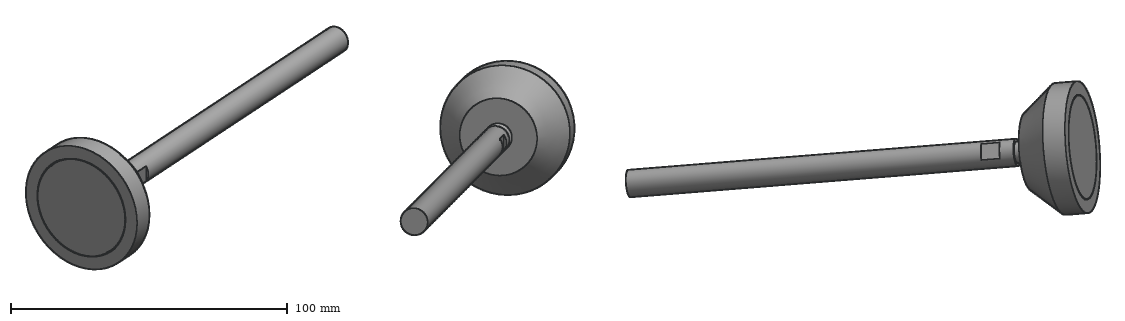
import cadquery as cq

total_length = 170.0

foot_diameter = 48.0
foot_top_diameter = 28.5
foot_rim_height = 8.3
foot_height = 20.0

stem_diameter = 10.0
neck_diameter = 7.8
stem_start = 24.6

lip_diameter = stem_diameter
lip_height = (lip_diameter - neck_diameter) / 2

flat_start = 30.0
flat_end = 36.9
across_flats = 8.0

plate_diameter = 37.5
recess_diameter = 38.0
plate_thickness = 2.0


def revolve_about_y(profile):
    """Solid of revolution from a closed list of (radius, Y) points."""
    return cq.Workplane("XY").polyline(profile).close().revolve(360, (0, 0, 0), (0, 1, 0))


def make_foot():
    """Conical foot with a bore for the neck and a recess for the base plate."""
    bore_radius = neck_diameter / 2
    recess_radius = recess_diameter / 2
    foot_radius = foot_diameter / 2
    return revolve_about_y([
        (recess_radius, 0),
        (foot_radius, 0),
        (foot_radius, foot_rim_height),
        (foot_top_diameter / 2, foot_height),
        (lip_diameter / 2, foot_height),
        (bore_radius, foot_height + lip_height),
        (bore_radius, plate_thickness),
        (recess_radius, plate_thickness),
    ])


def wrench_flat_cutter(side):
    """Block that cuts one flat on the +X (side = 1) or -X (side = -1) side of the stem."""
    block_depth = stem_diameter / 2
    center_x = side * (across_flats + block_depth) / 2
    center_y = (flat_start + flat_end) / 2
    block = cq.Workplane("XY").box(block_depth, flat_end - flat_start, stem_diameter)
    return block.translate((center_x, center_y, 0))


def make_stem():
    """Base plate, neck and long stem with two opposite wrench flats."""
    plate_radius = plate_diameter / 2
    neck_radius = neck_diameter / 2
    stem_radius = stem_diameter / 2
    stem_body = revolve_about_y([
        (0, 0),
        (plate_radius, 0),
        (plate_radius, plate_thickness),
        (neck_radius, plate_thickness),
        (neck_radius, stem_start),
        (stem_radius, stem_start),
        (stem_radius, total_length),
        (0, total_length),
    ])
    for side in (-1, 1):
        stem_body = stem_body.cut(wrench_flat_cutter(side))
    return stem_body


foot = make_foot()
stem = make_stem()

result = cq.Compound.makeCompound([foot.val(), stem.val()])